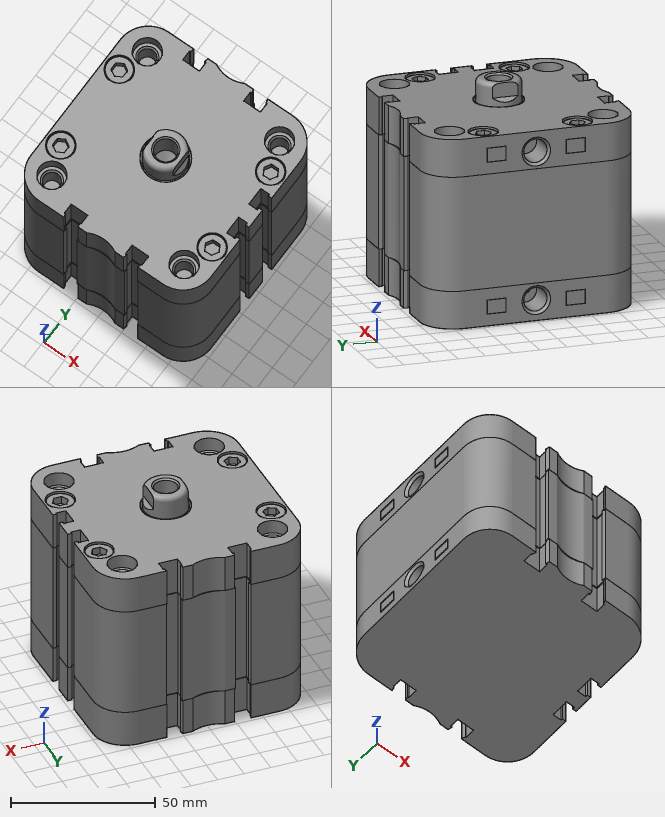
import cadquery as cq
import math

SIDE = 77.0
HALF = SIDE / 2
TOTAL_HEIGHT = 77.0
ROD_PROJECTION = 8.0
COVER_HEIGHT = 13.7
CORNER_RADIUS = 12.0
BODY_TOP = TOTAL_HEIGHT - ROD_PROJECTION
FRONT_COVER_BASE = BODY_TOP - COVER_HEIGHT

SLOT_LIP = 1.55
COVER_Y_SLOT_DEPTH = 5.5
BARREL_Y_SLOT_DEPTH = 5.15
COVER_X_SLOT_DEPTH = 5.15
BARREL_X_SLOT_DEPTH = 4.85
COVER_Y_MOUTH = (9.7, 15.8)
COVER_Y_THROAT = (10.1, 16.2)
COVER_Y_CHAMBER = (9.5, 16.55)
BARREL_Y_MOUTH = (10.1, 15.9)
BARREL_Y_THROAT = (10.1, 15.55)
BARREL_Y_CHAMBER = (9.5, 16.25)
X_MOUTH = (3.9, 9.4)
COVER_X_CHAMBER = (3.0, 10.1)
BARREL_X_CHAMBER = (3.3, 9.8)

HOLLOW_HALF_WIDTH = 6.0
COVER_HOLLOW_DEPTH = 1.55
BARREL_HOLLOW_DEPTH = 1.2
BARREL_HOLLOW_EDGE_RADIUS = 2.2
EDGE_SEARCH_MARGIN = 0.4

MOUNT_OFFSET = 28.25
MOUNT_BORE_DIAMETER = 10.5
MOUNT_BORE_DEPTH = 5.1
MOUNT_THREAD_DIAMETER = 6.6
MOUNT_CHAMFER_DIAMETER = 8.0

SCREW_X = 32.35
SCREW_Y = 17.3
SCREW_BORE_DIAMETER = 10.5
SCREW_HEAD_DIAMETER = 9.8
SCREW_HEAD_RECESS = 0.6
SOCKET_WIDTH = 5.0
SOCKET_DEPTH = 2.8
SOCKET_TURN = 30.0

PORT_DISTANCE = 7.5
PORT_DIAMETER = 8.55
PORT_CHAMFER_DIAMETER = 10.5
PORT_CHAMFER_DEPTH = 1.0
PORT_DEPTH = 11.55
PASSAGE_DIAMETER = 4.0
PASSAGE_OFFSET = 1.0
PASSAGE_DEPTH = 3.85

LABEL_WIDTH = 6.9
LABEL_HEIGHT = 5.1
LABEL_DEPTH = 0.2
LABEL_OFFSET = 14.55
LABEL_DISTANCE = 6.85

ROD_DIAMETER = 16.0
ROD_EDGE_RADIUS = 1.7
ROD_FLAT_WIDTH = 13.0
ROD_FLAT_LENGTH = 5.2
ROD_THREAD_DIAMETER = 8.55
ROD_THREAD_DEPTH = 11.55
ROD_CHAMFER_DIAMETER = 9.8
DRILL_POINT_ANGLE = 118.0
WIPER_RIM_DIAMETER = 18.0
WIPER_RECESS_DIAMETER = 17.7
WIPER_RECESS_DEPTH = 0.4
CLEARANCE_DIAMETER = 16.55
CLEARANCE_DEPTH = 2.3


def slot_cutter(mouth, throat, chamber, depth, base, height):
    """T-slot on the +Y side, right of the middle, open at both ends."""
    lip_y = HALF - SLOT_LIP
    floor_y = HALF - depth
    outline = [
        (mouth[0], HALF),
        (throat[0], lip_y),
        (chamber[0], lip_y),
        (chamber[0], floor_y),
        (chamber[1], floor_y),
        (chamber[1], lip_y),
        (throat[1], lip_y),
        (mouth[1], HALF),
    ]
    return cq.Workplane("XY", origin=(0, 0, base)).polyline(outline).close().extrude(height)


def profile_block(base, height, y_slot, x_slot, hollow_depth):
    """Rounded square block with the slots and hollows that run along the cylinder."""
    block = cq.Workplane("XY").box(SIDE, SIDE, height, centered=(True, True, False))
    block = block.edges("|Z").fillet(CORNER_RADIUS).translate((0, 0, base))

    hollow = (
        cq.Workplane("XY", origin=(0, 0, base))
        .moveTo(-HOLLOW_HALF_WIDTH, HALF)
        .threePointArc((0, HALF - hollow_depth), (HOLLOW_HALF_WIDTH, HALF))
        .close()
        .extrude(height)
    )
    block = block.cut(hollow).cut(hollow.mirror("XZ"))

    right_slot = slot_cutter(*y_slot, base, height)
    slots = right_slot.union(right_slot.mirror("YZ"))
    block = block.cut(slots).cut(slots.mirror("XZ"))

    side_slot = slot_cutter(*x_slot, base, height).rotate((0, 0, 0), (0, 0, 1), -90)
    return block.cut(side_slot).cut(side_slot.mirror("XZ"))


def cover_block(base):
    return profile_block(
        base,
        COVER_HEIGHT,
        (COVER_Y_MOUTH, COVER_Y_THROAT, COVER_Y_CHAMBER, COVER_Y_SLOT_DEPTH),
        (X_MOUTH, X_MOUTH, COVER_X_CHAMBER, COVER_X_SLOT_DEPTH),
        COVER_HOLLOW_DEPTH,
    )


def revolved(points):
    """Solid of revolution about Z from (radius, z) points that start and end on the axis."""
    return cq.Workplane("XZ").polyline(points).close().revolve(360, (0, 0), (0, 1))


def port_cutter(height):
    """Air port entering from the -X side at the given height."""
    radius = PORT_DIAMETER / 2
    chamfer_radius = PORT_CHAMFER_DIAMETER / 2
    port = revolved([
        (0, 0),
        (chamfer_radius, 0),
        (radius, PORT_CHAMFER_DEPTH),
        (radius, PORT_DEPTH),
        (0, PORT_DEPTH),
    ])
    return port.rotate((0, 0, 0), (0, 1, 0), 90).translate((-HALF, 0, height))


def label_cutter(height):
    """Two label panels in the -X side, centred at the given height."""
    return (
        cq.Workplane("YZ", origin=(-HALF, 0, height))
        .pushPoints([(-LABEL_OFFSET, 0), (LABEL_OFFSET, 0)])
        .rect(LABEL_WIDTH, LABEL_HEIGHT)
        .extrude(LABEL_DEPTH)
    )


def mount_cutter():
    """Counterbored blind thread hole, its mouth at the front cover face."""
    bore_radius = MOUNT_BORE_DIAMETER / 2
    thread_radius = MOUNT_THREAD_DIAMETER / 2
    chamfer_radius = MOUNT_CHAMFER_DIAMETER / 2
    chamfer_end = MOUNT_BORE_DEPTH + chamfer_radius - thread_radius
    return revolved([
        (0, 0),
        (bore_radius, 0),
        (bore_radius, -MOUNT_BORE_DEPTH),
        (chamfer_radius, -MOUNT_BORE_DEPTH),
        (thread_radius, -chamfer_end),
        (thread_radius, -COVER_HEIGHT),
        (0, -COVER_HEIGHT),
    ]).translate((0, 0, BODY_TOP))


def screw_cutter(socket_angle):
    """Recess above a chamfered screw head, and its hexagon socket."""
    bore_radius = SCREW_BORE_DIAMETER / 2
    head_radius = SCREW_HEAD_DIAMETER / 2
    chamfer = bore_radius - head_radius
    recess = revolved([
        (0, 0),
        (bore_radius, 0),
        (bore_radius, -SCREW_HEAD_RECESS - chamfer),
        (head_radius, -SCREW_HEAD_RECESS),
        (0, -SCREW_HEAD_RECESS),
    ])
    corner_diameter = SOCKET_WIDTH / math.cos(math.pi / 6)
    socket = (
        cq.Workplane("XY")
        .polygon(6, corner_diameter)
        .extrude(-SCREW_HEAD_RECESS - SOCKET_DEPTH)
        .rotate((0, 0, 0), (0, 0, 1), socket_angle)
    )
    return recess.union(socket).translate((0, 0, BODY_TOP))


def rod_opening():
    """Rod bearing bore through the front cover, with the wiper recess at its mouth."""
    rod_radius = ROD_DIAMETER / 2
    rim_radius = WIPER_RIM_DIAMETER / 2
    recess_radius = WIPER_RECESS_DIAMETER / 2
    clearance_radius = CLEARANCE_DIAMETER / 2
    return revolved([
        (0, 0),
        (rim_radius, 0),
        (recess_radius, recess_radius - rim_radius),
        (recess_radius, -WIPER_RECESS_DEPTH),
        (clearance_radius, -WIPER_RECESS_DEPTH),
        (clearance_radius, -CLEARANCE_DEPTH),
        (rod_radius, -CLEARANCE_DEPTH),
        (rod_radius, -COVER_HEIGHT),
        (0, -COVER_HEIGHT),
    ]).translate((0, 0, BODY_TOP))


def make_rear_cover():
    passage = (
        cq.Workplane("YZ", origin=(-HALF + PORT_DEPTH, 0, PORT_DISTANCE + PASSAGE_OFFSET))
        .circle(PASSAGE_DIAMETER / 2)
        .extrude(PASSAGE_DEPTH)
    )
    cover = cover_block(0).cut(label_cutter(LABEL_DISTANCE))
    return cover.cut(port_cutter(PORT_DISTANCE)).cut(passage)


def make_barrel():
    height = FRONT_COVER_BASE - COVER_HEIGHT
    barrel = profile_block(
        COVER_HEIGHT,
        height,
        (BARREL_Y_MOUTH, BARREL_Y_THROAT, BARREL_Y_CHAMBER, BARREL_Y_SLOT_DEPTH),
        (X_MOUTH, X_MOUTH, BARREL_X_CHAMBER, BARREL_X_SLOT_DEPTH),
        BARREL_HOLLOW_DEPTH,
    )
    for x in (-HOLLOW_HALF_WIDTH, HOLLOW_HALF_WIDTH):
        for y in (-HALF, HALF):
            edge = cq.selectors.BoxSelector(
                (x - EDGE_SEARCH_MARGIN, y - EDGE_SEARCH_MARGIN, 0),
                (x + EDGE_SEARCH_MARGIN, y + EDGE_SEARCH_MARGIN, TOTAL_HEIGHT),
            )
            barrel = barrel.edges("|Z").edges(edge).fillet(BARREL_HOLLOW_EDGE_RADIUS)
    return barrel


def make_front_cover():
    cover = cover_block(FRONT_COVER_BASE).cut(label_cutter(BODY_TOP - LABEL_DISTANCE))
    cover = cover.cut(port_cutter(BODY_TOP - PORT_DISTANCE))
    for x_sign in (-1, 1):
        screw = screw_cutter(SOCKET_TURN if x_sign < 0 else 0)
        for y_sign in (-1, 1):
            mount_place = (x_sign * MOUNT_OFFSET, y_sign * MOUNT_OFFSET, 0)
            cover = cover.cut(mount_cutter().translate(mount_place))
            cover = cover.cut(screw.translate((x_sign * SCREW_X, y_sign * SCREW_Y, 0)))
    return cover.cut(rod_opening())


def flat_cutter():
    """Wrench flat on the +X side of the rod, running out in a 45 degree slope."""
    flat_x = ROD_FLAT_WIDTH / 2
    width = ROD_DIAMETER - flat_x
    flat_end = TOTAL_HEIGHT - ROD_FLAT_LENGTH
    return (
        cq.Workplane("XZ")
        .moveTo(flat_x, TOTAL_HEIGHT)
        .lineTo(flat_x, flat_end)
        .lineTo(flat_x + width, flat_end - width)
        .lineTo(flat_x + width, TOTAL_HEIGHT)
        .close()
        .extrude(ROD_DIAMETER, both=True)
    )


def make_rod():
    rod = (
        cq.Workplane("XY", origin=(0, 0, FRONT_COVER_BASE))
        .circle(ROD_DIAMETER / 2)
        .extrude(TOTAL_HEIGHT - FRONT_COVER_BASE)
        .faces(">Z").edges().fillet(ROD_EDGE_RADIUS)
    )
    rod = rod.cut(flat_cutter()).cut(flat_cutter().mirror("YZ"))

    thread_radius = ROD_THREAD_DIAMETER / 2
    chamfer_radius = ROD_CHAMFER_DIAMETER / 2
    point_length = thread_radius / math.tan(math.radians(DRILL_POINT_ANGLE / 2))
    thread_hole = revolved([
        (0, 0),
        (chamfer_radius, 0),
        (thread_radius, thread_radius - chamfer_radius),
        (thread_radius, -ROD_THREAD_DEPTH),
        (0, -ROD_THREAD_DEPTH - point_length),
    ]).translate((0, 0, TOTAL_HEIGHT))
    return rod.cut(thread_hole)


rear_cover = make_rear_cover()
barrel = make_barrel()
front_cover = make_front_cover()
rod = make_rod()

result = cq.Compound.makeCompound([
    rear_cover.val(),
    barrel.val(),
    front_cover.val(),
    rod.val(),
])